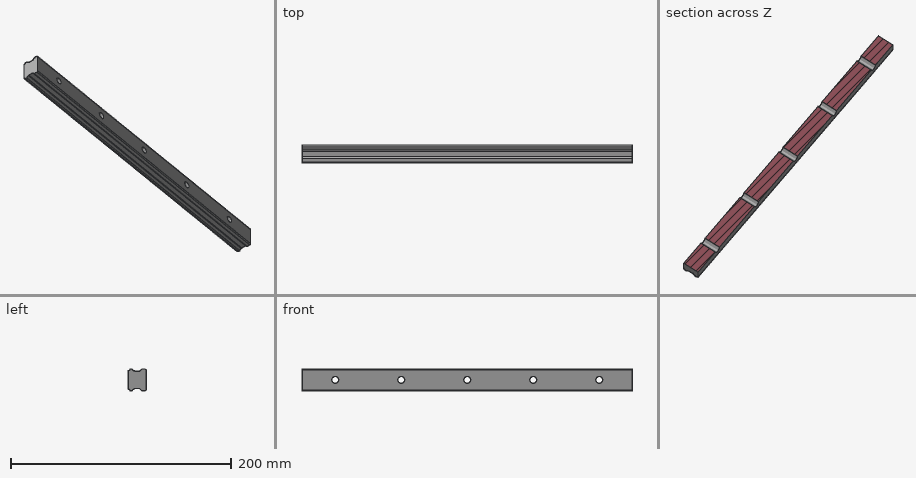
import cadquery as cq
import math

length = 300.0
width = 16.5
height = 20.0

chamfer = 1.0

round_radius = 2.0

notch_depth = 1.55
notch_offset = 0.15

groove_depth = 2.0
floor_half_width = 2.2
ramp_width = 0.5
round_depth = 1.6

hole_diameter = 6.0
hole_count = 5
hole_pitch = length / hole_count

top = height / 2
half_width = width / 2


def make_bar():
    """Plain rectangular bar, centred on the origin."""
    return cq.Workplane("XY").box(length, width, height)


def extrude_along_bar(outline):
    """Turn a closed YZ outline into a cutter running the whole bar length."""
    return outline.extrude(length / 2, both=True)


def make_groove():
    """Cutter for the top groove."""
    floor = top - groove_depth
    round_start = floor_half_width + ramp_width
    round_bottom = top - round_depth
    mouth_angle = math.acos(1 - round_depth / round_radius)

    def round_point(angle):
        """Point on the concave round, at an angle up from its lowest point."""
        return (
            round_start + round_radius * math.sin(angle),
            round_bottom + round_radius * (1 - math.cos(angle)),
        )

    outline = (
        cq.Workplane("YZ")
        .moveTo(-floor_half_width - groove_depth, top)
        .lineTo(-floor_half_width, floor)
        .lineTo(floor_half_width, floor)
        .lineTo(round_start, round_bottom)
        .threePointArc(round_point(mouth_angle / 2), round_point(mouth_angle))
        .close()
    )
    return extrude_along_bar(outline)


def make_notch():
    """Cutter for the round notch on the top +Y edge."""
    outline = (
        cq.Workplane("YZ")
        .center(half_width + notch_offset, top - notch_depth + round_radius)
        .circle(round_radius)
    )
    return extrude_along_bar(outline)


def make_chamfer():
    """Cutter for the chamfer on the top -Y edge."""
    corner_triangle = [
        (-half_width, top),
        (-half_width + chamfer, top),
        (-half_width, top - chamfer),
    ]
    outline = cq.Workplane("YZ").polyline(corner_triangle).close()
    return extrude_along_bar(outline)


def make_holes():
    """Evenly pitched cylinders through the width, at the bar's mid-height."""
    return (
        cq.Workplane("XZ")
        .rarray(hole_pitch, 1, hole_count, 1)
        .circle(hole_diameter / 2)
        .extrude(half_width, both=True)
    )


result = make_bar()
for make_cutter in (make_groove, make_notch, make_chamfer):
    upper_cutter = make_cutter()
    lower_cutter = upper_cutter.mirror("XY")
    result = result.cut(upper_cutter).cut(lower_cutter)
result = result.cut(make_holes())